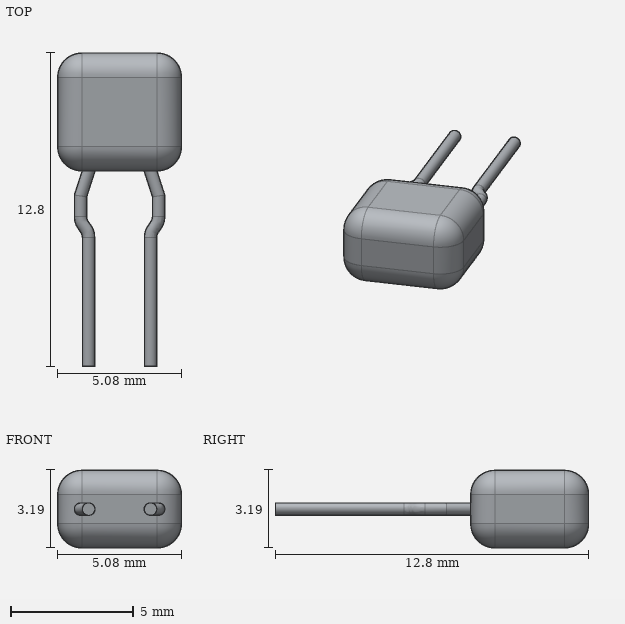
import cadquery as cq

body_width = 5.08
body_depth = 4.84
body_height = 3.19
body_rounding = 1.0

lead_diameter = 0.51
lead_pitch = 2.54
lead_length = 8.0
root_overlap = lead_diameter

kink_offset = 0.33
elbow_distance = 1.02
return_distance = 1.86
tail_distance = 2.73
bend_handle = (tail_distance - return_distance) / 2


def make_body():
    block = cq.Workplane("XY").box(body_width, body_depth, body_height)
    return block.edges().fillet(body_rounding).translate((0, body_depth / 2, 0))


def make_lead(side, body):
    """One kinked wire; side is -1 for the left lead and +1 for the right lead."""
    tail_x = side * lead_pitch / 2
    kink_x = tail_x + side * kink_offset

    root_x = tail_x - side * kink_offset * root_overlap / elbow_distance

    bend_points = [
        (tail_x, -tail_distance),
        (tail_x, -tail_distance + bend_handle),
        (kink_x, -return_distance - bend_handle),
        (kink_x, -return_distance),
    ]

    path = (
        cq.Workplane("XY")
        .moveTo(tail_x, -lead_length)
        .lineTo(tail_x, -tail_distance)
        .bezier(bend_points)
        .lineTo(kink_x, -elbow_distance)
        .lineTo(root_x, root_overlap)
    )
    section = cq.Workplane("XZ", origin=(tail_x, -lead_length, 0)).circle(lead_diameter / 2)
    return section.sweep(path, transition="right").cut(body)


body = make_body()
leads = [make_lead(side, body) for side in (-1, 1)]

result = cq.Compound.makeCompound([body.val()] + [lead.val() for lead in leads])